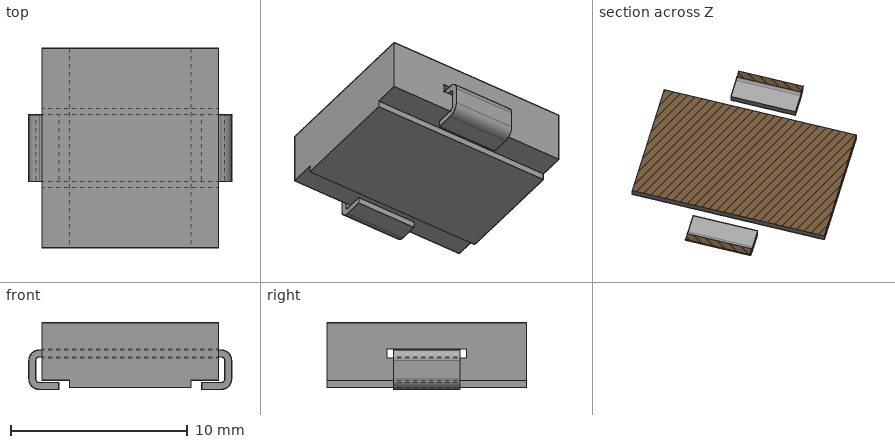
import cadquery as cq

overall_length = 11.5
overall_height = 3.8

housing_length = 10.0
housing_depth = 11.3
standoff = 0.1
base_length = 6.9
base_height = 0.41

strap_thickness = 0.4
strap_width = 3.8
strap_top = 2.24
strap_foot_length = 1.7
inner_bend_radius = 0.2
outer_bend_radius = inner_bend_radius + strap_thickness

slot_width = 4.5
slot_height = 0.51
slot_top = strap_top + (slot_height - strap_thickness) / 2


def make_block(length, depth, bottom, top):
    """Box centred on the Z axis, between two heights."""
    return (
        cq.Workplane("XY")
        .workplane(offset=bottom)
        .rect(length, depth)
        .extrude(top - bottom)
    )


def make_housing():
    """Block with a lower base along its middle and a slot through it along X."""
    body_bottom = standoff + base_height
    body = make_block(housing_length, housing_depth, body_bottom, overall_height)
    base = make_block(base_length, housing_depth, standoff, body_bottom)
    slot = make_block(housing_length, slot_width, slot_top - slot_height, slot_top)
    return body.union(base).cut(slot)


def make_strap():
    """Strip bent down at both ends, with its feet folded in under the housing."""
    half_length = overall_length / 2
    inner_half_length = half_length - strap_thickness
    foot_end = half_length - strap_foot_length

    outer = make_block(overall_length, strap_width, 0, strap_top).edges("|Y").fillet(outer_bend_radius)
    hollow = make_block(
        2 * inner_half_length, strap_width, strap_thickness, strap_top - strap_thickness
    ).edges("|Y").fillet(inner_bend_radius)
    foot_gap = make_block(2 * foot_end, strap_width, 0, strap_thickness)
    return outer.cut(hollow).cut(foot_gap)


housing = make_housing()
strap = make_strap()

result = cq.Compound.makeCompound([housing.val(), strap.val()])